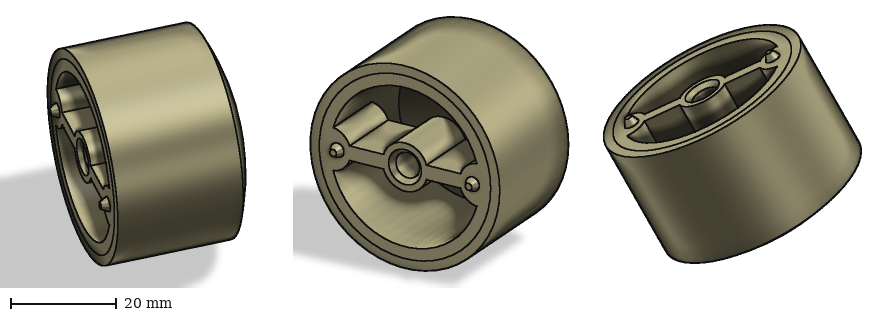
import cadquery as cq

outer_radius = 21.0
skin = 2.0
side_length = 25.0
dome_rise = 5.0
pocket_radius = 16.5
web_thickness = 3.02
web_depth = 14.0
hub_radius = 5.0
bore_radius = 2.6
bore_chamfer = 1.0
lobe_radius = 4.5
pin_offset = 15.0
pin_base_radius = 1.45
pin_tip_radius = 0.7
pin_length = 1.5

insert_radius = outer_radius - skin
dome_radius = (outer_radius**2 + dome_rise**2) / (2 * dome_rise)
dome_centre_y = side_length + dome_rise - dome_radius
inner_dome_radius = dome_radius - skin
total_length = side_length + dome_rise

face_centre = cq.Vector(0, 0, 0)
inward = cq.Vector(0, 1, 0)


def cylinder(radius, length, x=0.0):
    """Cylinder parallel to Y, from the open face inward."""
    return cq.Workplane("XZ").center(x, 0).circle(radius).extrude(-length)


def domed_cylinder(radius, sphere_radius):
    """Cylinder from the open face whose far end is rounded by the dome sphere."""
    sphere = cq.Workplane("XY").sphere(sphere_radius).translate((0, dome_centre_y, 0))
    return cylinder(radius, total_length).intersect(sphere)


def make_cap():
    """Domed cup of even wall thickness."""
    cavity = domed_cylinder(insert_radius, inner_dome_radius)
    return domed_cylinder(outer_radius, dome_radius).cut(cavity)


def make_web():
    """Bar across the pocket with a central hub and a lobe at each end."""
    web = cq.Workplane("XZ").rect(2 * pocket_radius, web_thickness).extrude(-web_depth)
    web = web.union(cylinder(hub_radius, web_depth))
    for side in (-1, 1):
        web = web.union(cylinder(lobe_radius, web_depth, side * pocket_radius))
    return web


def make_bore():
    """Bore through the hub with a countersunk mouth."""
    countersink = cq.Workplane(
        cq.Solid.makeCone(
            bore_radius + bore_chamfer, bore_radius, bore_chamfer, face_centre, inward
        )
    )
    return cylinder(bore_radius, web_depth).union(countersink)


def make_locating_pin(x):
    """Tapered pin standing out of the open face."""
    return cq.Workplane(
        cq.Solid.makeCone(
            pin_base_radius, pin_tip_radius, pin_length, cq.Vector(x, 0, 0), -inward
        )
    )


def make_insert():
    """Core that fills the cap: a ring with the web, its bore and two locating pins."""
    pocket = cylinder(pocket_radius, total_length).cut(make_web())
    insert = domed_cylinder(insert_radius, inner_dome_radius).cut(pocket).cut(make_bore())
    for side in (-1, 1):
        insert = insert.union(make_locating_pin(side * pin_offset))
    return insert


cap = make_cap()
insert = make_insert()

result = cq.Compound.makeCompound([cap.val(), insert.val()])